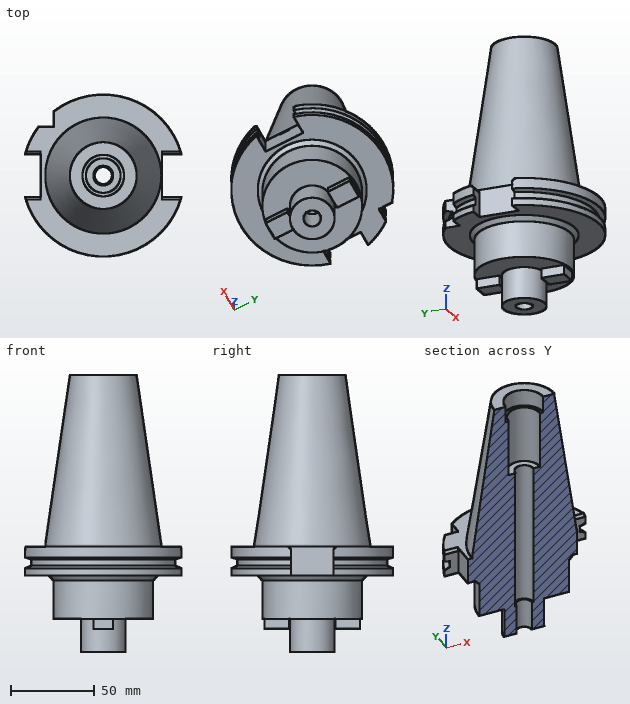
import cadquery as cq

total_height = 166.8
body_bottom = 20.0
body_top = 43.0
flange_bottom = 46.0
flange_top = 63.5
gauge_plane = 65.0

arbor_diameter = 26.8
body_diameter = 60.0
collar_diameter = 65.5
flange_diameter = 97.5
gauge_diameter = 69.9
taper_ratio = 7 / 24

groove_diameter = 90.5
groove_lower_rim = 50.4
groove_upper_rim = 57.0
groove_lower_root = 52.0
groove_upper_root = 55.9

slot_width = 25.5
slot_chamfer = 1.7
left_slot_floor = 37.7
right_slot_floor = 35.4
notch_x = 29.8
notch_y = 29.5

key_width = 11.7
key_height = 6.0
key_span = 57.5
key_gap = 27.5

counterbore_diameter = 25.0
counterbore_depth = 11.2
thread_diameter = 20.8
thread_depth = 50.0
hole_diameter = 10.3
clearance_diameter = 11.8


def make_turned_body():
    """Revolve the outer half profile around Z."""
    tip_diameter = gauge_diameter - taper_ratio * (total_height - gauge_plane)
    steps = [
        (0, 0),
        (arbor_diameter, 0),
        (arbor_diameter, body_bottom),
        (body_diameter, body_bottom),
        (body_diameter, body_top),
        (collar_diameter, flange_bottom),
        (flange_diameter, flange_bottom),
        (flange_diameter, groove_lower_rim),
        (groove_diameter, groove_lower_root),
        (groove_diameter, groove_upper_root),
        (flange_diameter, groove_upper_rim),
        (flange_diameter, flange_top),
        (gauge_diameter, flange_top),
        (gauge_diameter, gauge_plane),
        (tip_diameter, total_height),
        (0, total_height),
    ]
    profile = [(diameter / 2, z) for diameter, z in steps]
    return cq.Workplane("XZ").polyline(profile).close().revolve(360, (0, 0), (0, 1))


def make_drive_slot(side, floor):
    """Cutter for a slot through the flange, with its top edges chamfered."""
    half_width = slot_width / 2
    half_mouth = half_width + slot_chamfer
    section = [
        (-half_width, flange_bottom),
        (half_width, flange_bottom),
        (half_width, flange_top - slot_chamfer),
        (half_mouth, flange_top),
        (-half_mouth, flange_top),
        (-half_width, flange_top - slot_chamfer),
    ]
    return (
        cq.Workplane("YZ", origin=(side * floor, 0, 0))
        .polyline(section)
        .close()
        .extrude(side * flange_diameter / 2)
    )


def make_notch():
    """Cutter that removes the (-X, +Y) corner of the flange."""
    reach = flange_diameter / 2
    return (
        cq.Workplane("XY", origin=(-notch_x, notch_y, flange_bottom))
        .rect(-reach, reach, centered=False)
        .extrude(flange_top - flange_bottom)
    )


def make_key(side):
    """Drive key; it overlaps the body so that the two fuse."""
    key_length = (key_span - key_gap) / 2
    key_centre = side * (key_span + key_gap) / 4
    return (
        cq.Workplane("XY", origin=(0, key_centre, body_bottom - key_height))
        .rect(key_width, key_length)
        .extrude(key_height + (body_top - body_bottom) / 2)
    )


def make_bore():
    """Cutter for the counterbore, thread bore and stepped through hole."""
    thread_floor = total_height - thread_depth
    steps = [
        (0, 0),
        (hole_diameter, 0),
        (hole_diameter, body_bottom),
        (clearance_diameter, body_bottom),
        (clearance_diameter, thread_floor),
        (thread_diameter, thread_floor),
        (thread_diameter, total_height - counterbore_depth),
        (counterbore_diameter, total_height - counterbore_depth),
        (counterbore_diameter, total_height),
        (0, total_height),
    ]
    profile = [(diameter / 2, z) for diameter, z in steps]
    return cq.Workplane("XZ").polyline(profile).close().revolve(360, (0, 0), (0, 1))


result = make_turned_body()
for side, floor in ((-1, left_slot_floor), (1, right_slot_floor)):
    result = result.cut(make_drive_slot(side, floor))
result = result.cut(make_notch())
for side in (-1, 1):
    result = result.union(make_key(side))
result = result.cut(make_bore())